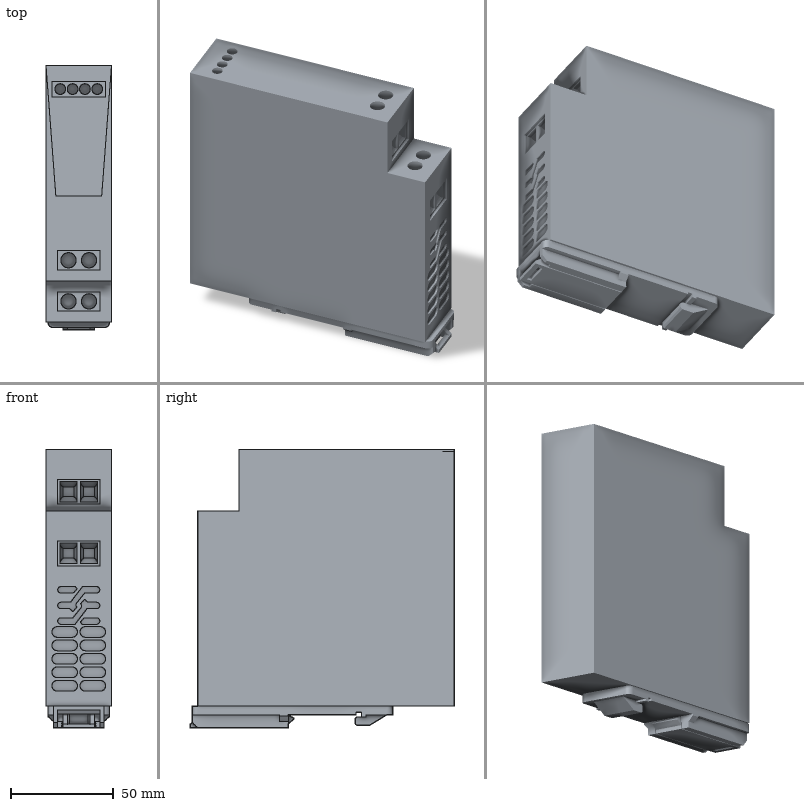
import cadquery as cq


width = 32.0
depth = 125.0
height = 125.0
step_depth = 20.0
step_height = 30.0
lower_top = height - step_height

vent_depth = 1.0
vent_length = 12.4
vent_height = 5.2
vent_rows = 5
vent_pitch = 6.55
vent_x = 6.85
lowest_vent_z = 9.9

louvre_depth = 1.0
louvre_centre_z = 49.0
louvre_half_length = 10.25
louvre_pitch = 7.6
louvre_height = 3.15
louvre_end_top_x = -1.7
louvre_end_bottom_x = -2.7
louvre_end_tip = (-0.75, 8.1)
link_top_left_x = 1.8
link_top_right_x = 2.9
link_notch_upper = (-1.3, 0.8)
link_notch_lower = (-1.3, -0.3)
link_notch_end = (-0.85, -0.85)
link_tail = (-2.9, -3.0)
link_tail_root_x = -4.4
link_band_root_x = -4.0

pole_pitch = 10.0
wire_width = 8.4
wire_height = 10.0
wire_frame = 1.05
wire_straight_depth = 1.8
wire_taper_depth = 3.3
wire_back_height = 4.7
terminal_width = pole_pitch + wire_width + 2 * wire_frame
terminal_face_height = wire_height + 2 * wire_frame
terminal_face_drop = 14.6
terminal_recess = 1.3
terminal_top_front = 5.5
terminal_top_back = 14.8
terminal_screw_diameter = 7.4
terminal_screw_depth = 8.0
terminal_places = [(0, lower_top), (step_depth, height)]

header_poles = 4
header_pitch = 6.0
header_width = 26.0
header_length = 7.5
header_height = 12.0
header_hole_diameter = 5.2
header_hole_depth = 8.0
header_setback = 11.5
header_y = depth - header_setback

cover_length = 63.6
cover_back_width = 31.9
cover_front_width = 22.3
cover_thickness = 1.0

plate_width = 30.0
plate_front = -2.7
plate_back = 95.0
plate_thickness = 4.25
plate_corner = 2.65

foot_width = 24.8
hook_width = 18.0
hook_root_y = 92.1
hook_heel_y = 83.7
hook_bottom = -9.4
hook_nose_y = 76.6
hook_nose_chamfer = 0.9
hook_top = -5.2
groove_front = 77.2
groove_back = 79.7
groove_top = -3.1
rib_back = 82.0

guide_back = 44.1
guide_bottom = -10.6
guide_chamfer = -plate_front
wing_length = 4.3
wing_top = -4.9
wing_size = (plate_width - foot_width) / 2

channel_width = 20.6
channel_top = -3.9
channel_mouth_top = -2.0
channel_roof_slope_depth = 1.4
channel_shelf = -7.4
channel_shelf_front = 3.1
channel_slot_width = 16.4

latch_face_y = 3.1
latch_flank_y = 4.5
latch_tongue_width = 15.4
latch_reach = 1.0
latch_front = plate_front - latch_reach
latch_lip_top = -8.75
latch_arm_width = 2.2
latch_window_width = latch_tongue_width - 2 * latch_arm_width
latch_window_front = -1.1
latch_window_back = 1.3
latch_notch_width = 8.9
latch_notch_depth = 1.5
latch_nose_y = 46.9
latch_nose_root_top = -4.4
latch_nose_tip_top = -5.8
latch_nose_tip_bottom = -6.3
latch_nose_root_bottom = -8.7


def box(x_size, y_range, z_range):
    """A block centred on X = 0 that spans the given Y and Z ranges."""
    y0, y1 = y_range
    z0, z1 = z_range
    corner = cq.Workplane("XY", origin=(0, y0, z0))
    return corner.box(x_size, y1 - y0, z1 - z0, centered=(True, False, False))


def side_prism(points, x_size):
    """A closed (Y, Z) outline extruded along X, centred on X = 0."""
    return cq.Workplane("YZ").polyline(points).close().extrude(x_size / 2, both=True)


def front_pocket(sketch, pocket_depth):
    """Turns an XZ sketch on the front face into a cutter that reaches backwards."""
    return sketch.extrude(-pocket_depth)


def terminal_envelope(front_y, top_z, face_y):
    """L-shaped space of a two-pole block whose wire face is at face_y."""
    face_top = top_z - terminal_face_drop
    face_bottom = face_top - terminal_face_height
    return side_prism(
        [
            (front_y + terminal_top_front, top_z),
            (front_y + terminal_top_back, top_z),
            (front_y + terminal_top_back, face_bottom),
            (face_y, face_bottom),
            (face_y, face_top),
            (front_y + terminal_top_front, face_top),
        ],
        terminal_width,
    )


def wire_entry(x, face_y, centre_z):
    """Wire opening with a sloping roof and floor, rounded in plan behind its straight mouth."""
    taper_y = face_y + wire_straight_depth
    back_y = taper_y + wire_taper_depth
    mouth = wire_height / 2
    back = wire_back_height / 2
    funnel = side_prism(
        [
            (face_y, -mouth),
            (taper_y, -mouth),
            (back_y, -back),
            (back_y, back),
            (taper_y, mouth),
            (face_y, mouth),
        ],
        wire_width,
    )
    round_end = cq.Workplane("XY", origin=(0, taper_y, 0)).circle(wire_width / 2).extrude(mouth, both=True)
    rounded = box(wire_width, (face_y, taper_y), (-mouth, mouth)).union(round_end)
    return funnel.intersect(rounded).translate((x, 0, centre_z))


def make_terminal(front_y, top_z):
    face_y = front_y + terminal_recess
    block = terminal_envelope(front_y, top_z, face_y)
    wire_z = top_z - terminal_face_drop - terminal_face_height / 2
    screw_y = front_y + (terminal_top_front + terminal_top_back) / 2
    for x in (-pole_pitch / 2, pole_pitch / 2):
        screw = cq.Workplane("XY", origin=(x, screw_y, top_z)).circle(terminal_screw_diameter / 2)
        block = block.cut(wire_entry(x, face_y, wire_z)).cut(screw.extrude(-terminal_screw_depth))
    return block


def header_envelope():
    y_range = (header_y - header_length / 2, header_y + header_length / 2)
    return box(header_width, y_range, (height - header_height, height))


def make_header():
    holes = cq.Workplane("XY", origin=(0, header_y, height)).rarray(header_pitch, 1, header_poles, 1)
    holes = holes.circle(header_hole_diameter / 2).extrude(-header_hole_depth)
    return header_envelope().cut(holes)


def cover_envelope():
    """Flush plate that tapers from nearly the full width at the back to its front edge."""
    front_y = depth - cover_length
    return (
        cq.Workplane("XY", origin=(0, 0, height - cover_thickness))
        .moveTo(-cover_back_width / 2, depth)
        .lineTo(cover_back_width / 2, depth)
        .lineTo(cover_front_width / 2, front_y)
        .lineTo(-cover_front_width / 2, front_y)
        .close()
        .extrude(cover_thickness)
    )


def vents():
    """Two columns of shallow rounded recesses."""
    centre_z = lowest_vent_z + vent_pitch * (vent_rows - 1) / 2
    sketch = cq.Workplane("XZ", origin=(0, 0, centre_z)).rarray(2 * vent_x, vent_pitch, 2, vent_rows)
    return front_pocket(sketch.slot2D(vent_length, vent_height), vent_depth)


def end_louvre():
    """Short louvre at the top left, with its inner end cut to a slanting point."""
    radius = louvre_height / 2
    top = louvre_pitch + radius
    bottom = louvre_pitch - radius
    arc_x = radius - louvre_half_length
    sketch = (
        cq.Workplane("XZ", origin=(0, 0, louvre_centre_z))
        .moveTo(arc_x, top)
        .lineTo(louvre_end_top_x, top)
        .lineTo(*louvre_end_tip)
        .lineTo(louvre_end_bottom_x, bottom)
        .lineTo(arc_x, bottom)
        .threePointArc((-louvre_half_length, louvre_pitch), (arc_x, top))
        .close()
    )
    return front_pocket(sketch, louvre_depth)


def linked_louvre():
    """Top right and middle left louvres, joined by a slanting band."""
    radius = louvre_height / 2
    top = louvre_pitch + radius
    bottom = louvre_pitch - radius
    arc_x = louvre_half_length - radius
    sketch = (
        cq.Workplane("XZ", origin=(0, 0, louvre_centre_z))
        .moveTo(link_top_left_x, top)
        .lineTo(arc_x, top)
        .threePointArc((louvre_half_length, louvre_pitch), (arc_x, bottom))
        .lineTo(link_top_right_x, bottom)
        .lineTo(*link_notch_upper)
        .lineTo(*link_notch_lower)
        .lineTo(*link_notch_end)
        .lineTo(*link_tail)
        .lineTo(link_tail_root_x, -radius)
        .lineTo(-arc_x, -radius)
        .threePointArc((-louvre_half_length, 0), (-arc_x, radius))
        .lineTo(link_band_root_x, radius)
        .close()
    )
    return front_pocket(sketch, louvre_depth)


def make_housing():
    body = side_prism(
        [
            (0, 0),
            (depth, 0),
            (depth, height),
            (step_depth, height),
            (step_depth, lower_top),
            (0, lower_top),
        ],
        width,
    )
    for front_y, top_z in terminal_places:
        body = body.cut(terminal_envelope(front_y, top_z, front_y))
    body = body.cut(header_envelope()).cut(cover_envelope()).cut(vents())
    axis_start = (0, 0, louvre_centre_z)
    axis_end = (0, 1, louvre_centre_z)
    for louvre in (end_louvre(), linked_louvre()):
        body = body.cut(louvre).cut(louvre.rotate(axis_start, axis_end, 180))
    return body


def foot_plate():
    plate = box(plate_width, (plate_front, plate_back), (-plate_thickness, 0))
    return plate.edges("|Z").fillet(plate_corner)


def hook():
    """Fixed rail hook with a cross rib behind its mouth."""
    claw = side_prism(
        [
            (hook_root_y, -plate_thickness),
            (hook_heel_y, hook_bottom),
            (hook_nose_y + hook_nose_chamfer, hook_bottom),
            (hook_nose_y, hook_bottom + hook_nose_chamfer),
            (hook_nose_y, hook_top - hook_nose_chamfer),
            (hook_nose_y + hook_nose_chamfer, hook_top),
            (groove_back, hook_top),
            (groove_back, -plate_thickness),
        ],
        hook_width,
    )
    return claw.union(box(plate_width, (groove_back, rib_back), (hook_top, -plate_thickness)))


def guide():
    """Block under the front of the plate, with a chamfered front and two wings."""
    block = side_prism(
        [
            (plate_front, 0),
            (guide_back, 0),
            (guide_back, guide_bottom),
            (plate_front + guide_chamfer, guide_bottom),
            (plate_front, guide_bottom + guide_chamfer),
        ],
        foot_width,
    )
    half = plate_width / 2
    wings = (
        cq.Workplane("XZ", origin=(0, guide_back, 0))
        .polyline(
            [
                (-half, -plate_thickness),
                (half, -plate_thickness),
                (half, wing_top),
                (half - wing_size, wing_top - wing_size),
                (wing_size - half, wing_top - wing_size),
                (-half, wing_top),
            ]
        )
        .close()
        .extrude(wing_length)
    )
    return block.union(wings)


def channel():
    """T-shaped passage for the latch, with a sloping roof at its mouth."""
    mouth = side_prism(
        [
            (plate_front, channel_mouth_top),
            (plate_front + channel_roof_slope_depth, channel_top),
            (channel_shelf_front, channel_top),
            (channel_shelf_front, guide_bottom),
            (plate_front, guide_bottom),
        ],
        channel_width,
    )
    upper = box(channel_width, (channel_shelf_front, guide_back), (channel_shelf, channel_top))
    lower = box(channel_slot_width, (channel_shelf_front, guide_back), (guide_bottom, channel_shelf))
    return mouth.union(upper).union(lower)


def make_foot():
    groove = box(plate_width, (groove_front, groove_back), (-plate_thickness, groove_top))
    return foot_plate().cut(groove).union(hook()).union(guide()).cut(channel())


def make_latch():
    """Slide with a rail nose at the back and a windowed pull tab at the front."""
    slide = box(channel_width, (latch_flank_y, guide_back), (channel_shelf, channel_top))
    tongue = side_prism(
        [
            (latch_front, guide_bottom),
            (latch_front, latch_lip_top),
            (latch_face_y, channel_top),
            (guide_back, channel_top),
            (guide_back, guide_bottom),
        ],
        latch_tongue_width,
    )
    nose = side_prism(
        [
            (guide_back, latch_nose_root_top),
            (latch_nose_y, latch_nose_tip_top),
            (latch_nose_y, latch_nose_tip_bottom),
            (guide_back, latch_nose_root_bottom),
        ],
        latch_tongue_width,
    )
    between_arms = box(latch_window_width, (latch_front, latch_face_y), (latch_lip_top, channel_top))
    notch_back = latch_face_y + latch_notch_depth
    notch = box(latch_notch_width, (latch_face_y, notch_back), (latch_lip_top, channel_top))
    window_y = (latch_window_front, latch_window_back)
    window = box(latch_window_width, window_y, (guide_bottom, latch_lip_top))
    return slide.union(tongue).union(nose).cut(between_arms).cut(notch).cut(window)


housing = make_housing()
terminals = [make_terminal(front_y, top_z) for front_y, top_z in terminal_places]
header = make_header()
cover = cover_envelope().cut(header_envelope())
foot = make_foot()
latch = make_latch()

result = cq.Compound.makeCompound(
    [
        housing.val(),
        *[terminal.val() for terminal in terminals],
        header.val(),
        cover.val(),
        foot.val(),
        latch.val(),
    ]
)